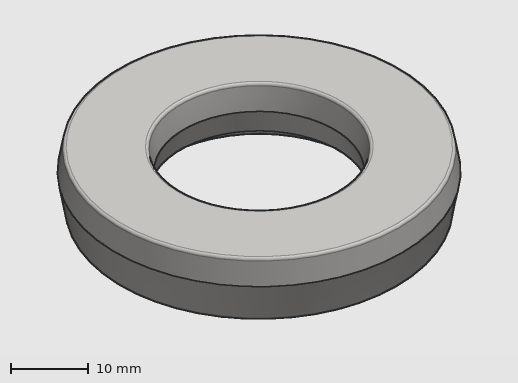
import cadquery as cq
import math

outer_diameter = 52.0
bore_diameter = 27.15
thickness = 10.0
waist_depth = 4.0
taper_angle = 10.0
edge_radius = 0.45
recess_diameter = 33.5
recess_depth = 2.5

outer_radius = outer_diameter / 2
bore_radius = bore_diameter / 2
recess_radius = recess_diameter / 2
waist_height = thickness - waist_depth
taper = math.tan(math.radians(taper_angle))
top_inset = waist_depth * taper
bottom_inset = waist_height * taper
recess_inset = (waist_height - recess_depth) * taper

ring = (
    cq.Workplane("XZ")
    .moveTo(recess_radius, 0)
    .lineTo(outer_radius - bottom_inset, 0)
    .lineTo(outer_radius, waist_height)
    .lineTo(outer_radius - top_inset, thickness)
    .lineTo(bore_radius + top_inset, thickness)
    .lineTo(bore_radius, waist_height)
    .lineTo(bore_radius + recess_inset, recess_depth)
    .lineTo(recess_radius, recess_depth)
    .close()
    .revolve(360, (0, 0, 0), (0, 1, 0))
)

result = ring.faces("<Z or >Z").edges().fillet(edge_radius)